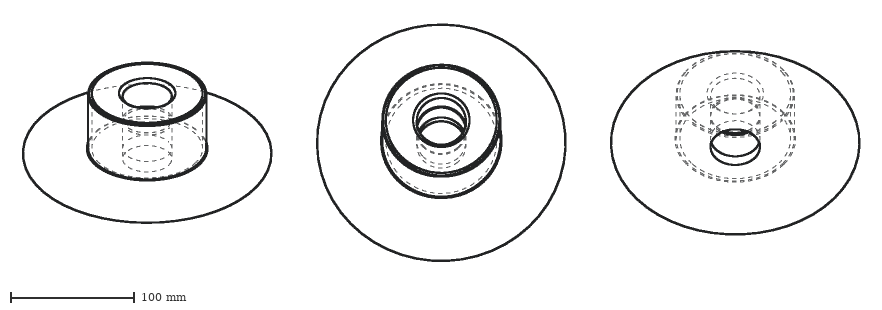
import cadquery as cq

FLANGE_DIAMETER = 202.0
FLANGE_THICKNESS = 10.0
RIM_RADIUS = FLANGE_THICKNESS / 2

TOTAL_HEIGHT = 63.0
SLEEVE_DIAMETER = 96.0
SLEEVE_FOOT_DIAMETER = 98.0
SLEEVE_FOOT_HEIGHT = 0.5
BUSHING_PROTRUSION = 0.5
SLEEVE_TOP_Z = TOTAL_HEIGHT - BUSHING_PROTRUSION
SLEEVE_TOP_CHAMFER = 0.8

BUSHING_DIAMETER = 90.0
BORE_DIAMETER = 40.0
COUNTERSINK_DIAMETER = 45.9
COUNTERSINK_DEPTH = (COUNTERSINK_DIAMETER - BORE_DIAMETER) / 2
GROOVE_DIAMETER = 40.5
GROOVE_WIDTH = 2.2
GROOVE_MIDDLE_Z = (FLANGE_THICKNESS + TOTAL_HEIGHT) / 2


def revolve_about_z(profile):
    """Turn a closed half profile in the XZ plane once around the Z axis."""
    return profile.revolve(360, (0, 0, 0), (0, 1, 0))


def make_flanged_sleeve():
    """Round-rimmed disc and sleeve in one piece, with a seat for the bushing."""
    rim_centre = FLANGE_DIAMETER / 2 - RIM_RADIUS
    sleeve_radius = SLEEVE_DIAMETER / 2
    seat_radius = BUSHING_DIAMETER / 2
    bore_radius = BORE_DIAMETER / 2
    profile = (
        cq.Workplane("XZ")
        .moveTo(bore_radius, 0)
        .lineTo(rim_centre, 0)
        .radiusArc((FLANGE_DIAMETER / 2, RIM_RADIUS), -RIM_RADIUS)
        .radiusArc((rim_centre, FLANGE_THICKNESS), -RIM_RADIUS)
        .lineTo(SLEEVE_FOOT_DIAMETER / 2, FLANGE_THICKNESS)
        .lineTo(sleeve_radius, FLANGE_THICKNESS + SLEEVE_FOOT_HEIGHT)
        .lineTo(sleeve_radius, SLEEVE_TOP_Z - SLEEVE_TOP_CHAMFER)
        .lineTo(sleeve_radius - SLEEVE_TOP_CHAMFER, SLEEVE_TOP_Z)
        .lineTo(seat_radius, SLEEVE_TOP_Z)
        .lineTo(seat_radius, FLANGE_THICKNESS)
        .lineTo(bore_radius, FLANGE_THICKNESS)
        .close()
    )
    return revolve_about_z(profile)


def make_bushing():
    """Bushing with a countersunk bore and a shallow groove halfway along it."""
    outer_radius = BUSHING_DIAMETER / 2
    bore_radius = BORE_DIAMETER / 2
    groove_radius = GROOVE_DIAMETER / 2
    groove_top = GROOVE_MIDDLE_Z + GROOVE_WIDTH / 2
    groove_bottom = GROOVE_MIDDLE_Z - GROOVE_WIDTH / 2
    profile = (
        cq.Workplane("XZ")
        .moveTo(bore_radius, FLANGE_THICKNESS)
        .lineTo(outer_radius, FLANGE_THICKNESS)
        .lineTo(outer_radius, TOTAL_HEIGHT)
        .lineTo(COUNTERSINK_DIAMETER / 2, TOTAL_HEIGHT)
        .lineTo(bore_radius, TOTAL_HEIGHT - COUNTERSINK_DEPTH)
        .lineTo(bore_radius, groove_top)
        .lineTo(groove_radius, groove_top)
        .lineTo(groove_radius, groove_bottom)
        .lineTo(bore_radius, groove_bottom)
        .close()
    )
    return revolve_about_z(profile)


flanged_sleeve = make_flanged_sleeve()
bushing = make_bushing()
result = cq.Compound.makeCompound([flanged_sleeve.val(), bushing.val()])